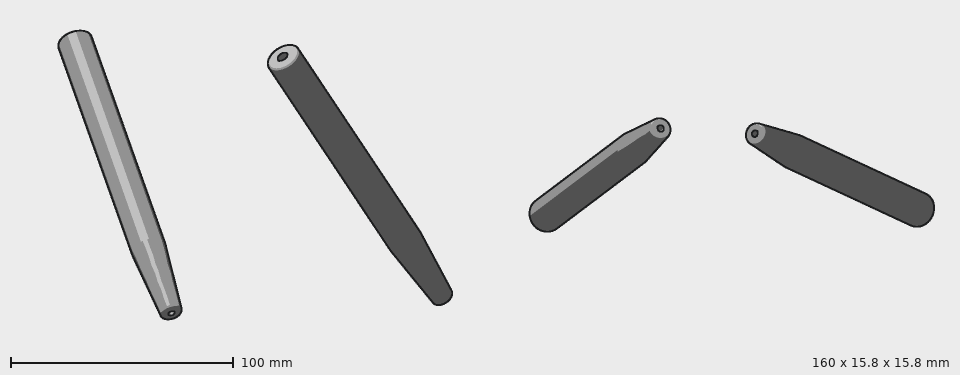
import cadquery as cq

total_length = 160.0
body_diameter = 15.8
taper_length = 37.5
tip_diameter = 10.0
edge_radius = 1.1

wide_bore_diameter = 5.0
wide_bore_depth = 32.0
narrow_bore_diameter = 3.0

body_radius = body_diameter / 2
tip_radius = tip_diameter / 2
wide_bore_radius = wide_bore_diameter / 2
narrow_bore_radius = narrow_bore_diameter / 2
back_x = -total_length / 2
tip_x = total_length / 2
shoulder_x = tip_x - taper_length


def revolve_about_x(half_profile_points):
    """Solid of revolution about the X axis from (x, radius) points."""
    profile = cq.Workplane("XY").polyline(half_profile_points).close()
    return profile.revolve(360, (0, 0, 0), (1, 0, 0))


def tapered_rod():
    """Cylindrical rod narrowing to a conical tip at +X, with rounded ends."""
    rod = revolve_about_x([
        (back_x, 0),
        (back_x, body_radius),
        (shoulder_x, body_radius),
        (tip_x, tip_radius),
        (tip_x, 0),
    ])
    return rod.faces("<X or >X").edges().fillet(edge_radius)


def stepped_bore():
    """Cutter for the through bore, with a 45 degree cone joining its two diameters."""
    cone_start_x = back_x + wide_bore_depth
    cone_end_x = cone_start_x + wide_bore_radius - narrow_bore_radius
    return revolve_about_x([
        (back_x, 0),
        (back_x, wide_bore_radius),
        (cone_start_x, wide_bore_radius),
        (cone_end_x, narrow_bore_radius),
        (tip_x, narrow_bore_radius),
        (tip_x, 0),
    ])


result = tapered_rod().cut(stepped_bore())